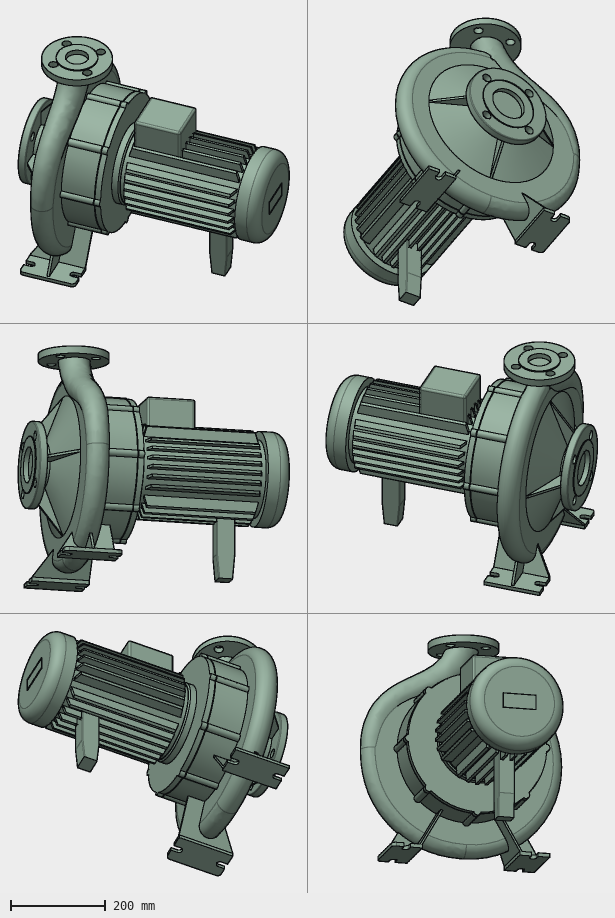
import cadquery as cq
import math


OVERLAP = 5.5

SUCTION_FACE_X = -100.0
SUCTION_LIP = 2.0
SUCTION_FLANGE_BACK_X = -81.0
SUCTION_FLANGE_R = 93.0
SUCTION_LIP_R = 61.0
SUCTION_BORE_R = 38.0
SUCTION_HOLE_CIRCLE_R = 72.5
SUCTION_FLANGE_FILLET = 1.5
NECK_R = 48.5

DISCHARGE_FACE_Z = 250.0
DISCHARGE_LIP = 3.0
DISCHARGE_FLANGE_BOTTOM_Z = 231.0
DISCHARGE_FLANGE_R = 75.0
DISCHARGE_LIP_R = 44.0
DISCHARGE_BORE_R = 24.5
DISCHARGE_HOLE_CIRCLE_R = 55.0

FLANGE_HOLE_DIAMETER = 19.5
FLANGE_HOLE_COUNT = 4
FLANGE_HOLE_START_ANGLE = 45
BORE_DEPTH = 11.0

CHANNEL_R = 24.5
OUTLET_R = 34.5
SPIRAL_TOP = (0, 182.0)
SPIRAL_LEFT = (191.0, -9.0)
SPIRAL_BOTTOM = (0, -199.5)
SPIRAL_LOWER_RIGHT = (-144.5, -144.5)
SPIRAL_RIGHT = (-201.0, 0)
OUTLET_UPPER_RIGHT = (-138.0, 120.5)
OUTLET_BEND = (-55.0, 166.5)
OUTLET_END = (-1.0, 239.0)
OUTLET_DIRECTION = (0.3, 1)

CONE_TIP_X = -64.0
CONE_BASE_R = 151.0
CONE_RIB_R = 82.0
CONE_RIB_THICKNESS = 5.5
CONE_RIB_COUNT = 4

BARREL_R = 152.0
BOSS_R = 8.5
BOSS_CIRCLE_R = 150.5
BOSS_COUNT = 8
GASKET_THICKNESS = 1.5
BARREL_END_X = 99.5
COVER_START_X = BARREL_END_X + GASKET_THICKNESS
COVER_END_X = 114.0

ADAPTER_END_X = 131.5
ADAPTER_R = 88.5
ADAPTER_CHAMFER = 3.5
MOTOR_R = 83.5
FIN_TIP_R = 102.0
FIN_START_X = 140.0
FIN_END_X = 390.5
FIN_END_SLOPE = 6.5
FIN_THICKNESS = 5.5
FIN_PITCH = 20.5
FINS_PER_SIDE = 6

FAN_COVER_X = 399.0
FAN_COVER_END_X = 451.0
FAN_COVER_FILLET = 25.0
NAME_PLATE_WIDTH = 72.0
NAME_PLATE_HEIGHT = 31.5
NAME_PLATE_THICKNESS = 1.5

BOX_X = 149.0
BOX_LENGTH = 105.0
BOX_WIDTH = 96.0
BOX_TOP_Z = 153.0
BOX_FILLET = 5.0

GROUND_Z = -225.0
FOOT_FRONT_X = -63.0
FOOT_REAR_X = 62.5
FOOT_OUTER_Y = 172.5
FOOT_INNER_Y = 107.0
FOOT_PLATE_THICKNESS = 8.5
FOOT_CORNER_R = 9.0
FOOT_SLOT_Y = 140.0
FOOT_SLOT_WIDTH = 14.5
FOOT_SLOT_DEPTH = 22.0
WEB_THICKNESS = 4.5
WEB_LEAN = math.tan(math.radians(30))
WEB_HEIGHT = 110.5
WEB_FRONT_RUN = 0.7
FOOT_RIB_THICKNESS = 5.5
FOOT_RIB_OUTER_Y = 166.5

LEG_X = 328.5
LEG_TOP_LENGTH = 40.0
LEG_BOTTOM_LENGTH = 30.5
LEG_WIDTH = 35.5
LEG_TAPER_Z = -173.5
LEG_FILLET = 1.5


def revolved(profile):
    """Solid of revolution about X from a closed (x, radius) outline."""
    return cq.Workplane("XY").polyline(profile).close().revolve(360, (0, 0), (1, 0))


def cylinder_x(start_x, end_x, radius):
    return cq.Workplane("YZ", origin=(start_x, 0, 0)).circle(radius).extrude(end_x - start_x)


def flange(radius, lip_radius, lip, thickness, hole_circle_radius, edge_fillet=0):
    """Drilled flange with a raised face: back at z = 0, sealing face up."""
    disc = cq.Workplane("XY").circle(radius).extrude(thickness - lip)
    if edge_fillet:
        disc = disc.edges().fillet(edge_fillet)
    holes = (
        cq.Workplane("XY")
        .polarArray(hole_circle_radius, FLANGE_HOLE_START_ANGLE, 360, FLANGE_HOLE_COUNT)
        .circle(FLANGE_HOLE_DIAMETER / 2)
        .extrude(thickness - lip)
    )
    raised_face = cq.Workplane("XY").circle(lip_radius).extrude(thickness)
    return disc.union(raised_face).cut(holes)


def suction_flange():
    thickness = SUCTION_FLANGE_BACK_X - SUCTION_FACE_X
    blank = flange(
        SUCTION_FLANGE_R,
        SUCTION_LIP_R,
        SUCTION_LIP,
        thickness,
        SUCTION_HOLE_CIRCLE_R,
        SUCTION_FLANGE_FILLET,
    )
    return blank.rotate((0, 0, 0), (0, 1, 0), -90).translate((SUCTION_FLANGE_BACK_X, 0, 0))


def discharge_flange():
    thickness = DISCHARGE_FACE_Z - DISCHARGE_FLANGE_BOTTOM_Z
    blank = flange(DISCHARGE_FLANGE_R, DISCHARGE_LIP_R, DISCHARGE_LIP, thickness, DISCHARGE_HOLE_CIRCLE_R)
    return blank.translate((0, 0, DISCHARGE_FLANGE_BOTTOM_Z))


def channel_section(centre, direction, radius):
    """Circle across the channel at a (Y, Z) point, facing along the channel."""
    plane = cq.Plane(origin=(0, *centre), xDir=(1, 0, 0), normal=(0, *direction))
    return cq.Workplane(plane).circle(radius)


def spiral_small_half(sketch):
    return sketch.threePointArc(SPIRAL_LEFT, SPIRAL_BOTTOM)


def spiral_large_half(sketch):
    return sketch.spline(
        [SPIRAL_LOWER_RIGHT, SPIRAL_RIGHT], tangents=[(-1, 0), (0, 1)], includeCurrent=True
    )


def volute():
    """Spiral channel, its widening outlet and the flat walls enclosed by them."""
    small_path = spiral_small_half(cq.Workplane("YZ").moveTo(*SPIRAL_TOP))
    small_half = channel_section(SPIRAL_TOP, (1, 0), CHANNEL_R).sweep(small_path)

    large_path = spiral_large_half(cq.Workplane("YZ").moveTo(*SPIRAL_BOTTOM))
    large_half = channel_section(SPIRAL_BOTTOM, (-1, 0), CHANNEL_R).sweep(large_path)

    outlet_points = [SPIRAL_RIGHT, OUTLET_UPPER_RIGHT, OUTLET_BEND, OUTLET_END]
    outlet_path = cq.Workplane("YZ").spline(outlet_points, tangents=[(0, 1), OUTLET_DIRECTION])
    outlet_start = channel_section(SPIRAL_RIGHT, (0, 1), CHANNEL_R)
    outlet_end = channel_section(OUTLET_END, OUTLET_DIRECTION, OUTLET_R)
    outlet = outlet_start.add(outlet_end).toPending().sweep(outlet_path, multisection=True)
    above_bore_floor = (
        cq.Workplane("XY", origin=(0, 0, DISCHARGE_FACE_Z - BORE_DEPTH))
        .circle(DISCHARGE_FLANGE_R)
        .extrude(2 * OUTLET_R)
    )
    outlet = outlet.cut(above_bore_floor)

    walls = cq.Workplane("YZ", origin=(-CHANNEL_R, 0, 0)).moveTo(*SPIRAL_TOP)
    walls = spiral_large_half(spiral_small_half(walls))
    walls = walls.spline([OUTLET_UPPER_RIGHT, OUTLET_BEND], includeCurrent=True)
    walls = walls.close().extrude(2 * CHANNEL_R)
    return walls.union(small_half).union(large_half).union(outlet)


def front_cone():
    """Suction neck widening into the volute, with radial stiffening ribs."""
    cone = revolved([
        (SUCTION_FLANGE_BACK_X - OVERLAP, 0),
        (SUCTION_FLANGE_BACK_X - OVERLAP, NECK_R),
        (CONE_TIP_X, NECK_R),
        (-CHANNEL_R, CONE_BASE_R),
        (0, CONE_BASE_R),
        (0, 0),
    ])
    rib = (
        cq.Workplane("XZ")
        .polyline([
            (SUCTION_FLANGE_BACK_X, 0),
            (SUCTION_FLANGE_BACK_X, CONE_RIB_R),
            (-CHANNEL_R, CONE_BASE_R),
            (-CHANNEL_R, 0),
        ])
        .close()
        .extrude(CONE_RIB_THICKNESS / 2, both=True)
    )
    for index in range(CONE_RIB_COUNT):
        cone = cone.union(rib.rotate((0, 0, 0), (1, 0, 0), index * 360 / CONE_RIB_COUNT))
    return cone


def bolted_disc(start_x, end_x):
    """Barrel-sized disc with a ring of bolt bosses on its rim."""
    disc = cylinder_x(start_x, end_x, BARREL_R)
    bosses = (
        cq.Workplane("YZ", origin=(start_x, 0, 0))
        .polarArray(BOSS_CIRCLE_R, 0, 360, BOSS_COUNT)
        .circle(BOSS_R)
        .extrude(end_x - start_x)
    )
    return disc.union(bosses)


def make_casing():
    casing = volute().union(bolted_disc(0, BARREL_END_X)).union(front_cone())
    casing = casing.union(suction_flange()).union(discharge_flange())
    suction_bore = cylinder_x(SUCTION_FACE_X, SUCTION_FACE_X + BORE_DEPTH, SUCTION_BORE_R)
    discharge_bore = (
        cq.Workplane("XY", origin=(0, 0, DISCHARGE_FACE_Z - BORE_DEPTH))
        .circle(DISCHARGE_BORE_R)
        .extrude(BORE_DEPTH)
    )
    return casing.cut(suction_bore).cut(discharge_bore)


def make_adapter():
    return cylinder_x(COVER_END_X, ADAPTER_END_X, ADAPTER_R).faces(">X").edges().chamfer(ADAPTER_CHAMFER)


def make_motor():
    """Motor cylinder with parallel cooling fins on all four sides."""
    fin_envelope = revolved([
        (FIN_START_X, 0),
        (FIN_START_X, MOTOR_R),
        (FIN_START_X + FIN_END_SLOPE, FIN_TIP_R),
        (FIN_END_X - FIN_END_SLOPE, FIN_TIP_R),
        (FIN_END_X, MOTOR_R),
        (FIN_END_X, 0),
    ])
    fin_length = FIN_END_X - FIN_START_X
    fin_span = 2 * FIN_TIP_R
    plates = (
        cq.Workplane("YZ", origin=(FIN_START_X, 0, 0))
        .rarray(FIN_PITCH, 5.5, FINS_PER_SIDE, 1)
        .rect(FIN_THICKNESS, fin_span)
        .extrude(fin_length)
    )
    crossing_plates = plates.rotate((0, 0, 0), (1, 0, 0), 90)
    fins = plates.union(crossing_plates).intersect(fin_envelope)
    return cylinder_x(ADAPTER_END_X, FAN_COVER_X, MOTOR_R).union(fins)


def make_fan_cover():
    cover = cylinder_x(FAN_COVER_X, FAN_COVER_END_X, FIN_TIP_R).faces(">X").edges().fillet(FAN_COVER_FILLET)
    name_plate = (
        cq.Workplane("YZ", origin=(FAN_COVER_END_X, 0, 0))
        .rect(NAME_PLATE_WIDTH, NAME_PLATE_HEIGHT)
        .extrude(NAME_PLATE_THICKNESS)
    )
    return cover.union(name_plate)


def make_terminal_box(motor):
    """Rounded box standing on the motor and fitting over its fins."""
    box = cq.Workplane("XY").box(BOX_LENGTH, BOX_WIDTH, BOX_TOP_Z, centered=(False, True, False))
    box = box.edges("|Z or >Z").fillet(BOX_FILLET).translate((BOX_X, 0, 0))
    return box.cut(motor)


def make_motor_leg(motor):
    """Leg with tapered lower end, fitting up between the motor fins."""
    half_top = LEG_TOP_LENGTH / 2
    half_bottom = LEG_BOTTOM_LENGTH / 2
    leg = (
        cq.Workplane("XZ", origin=(LEG_X, 0, 0))
        .polyline([
            (-half_bottom, GROUND_Z),
            (half_bottom, GROUND_Z),
            (half_top, LEG_TAPER_Z),
            (half_top, -MOTOR_R + OVERLAP),
            (-half_top, -MOTOR_R + OVERLAP),
            (-half_top, LEG_TAPER_Z),
        ])
        .close()
        .extrude(LEG_WIDTH / 2, both=True)
    )
    leg = leg.edges("(<Y or >Y) and (not |X)").fillet(LEG_FILLET)
    return leg.cut(motor)


def foot_plate(side):
    """Slotted ground plate; only the foot on the -Y side has rounded outer corners."""
    length = FOOT_REAR_X - FOOT_FRONT_X
    width = FOOT_OUTER_Y - FOOT_INNER_Y
    centre_x = (FOOT_REAR_X + FOOT_FRONT_X) / 2
    centre_y = side * (FOOT_OUTER_Y + FOOT_INNER_Y) / 2
    base = cq.Workplane("XY", origin=(centre_x, 0, GROUND_Z))
    plate = base.center(0, centre_y).rect(length, width).extrude(FOOT_PLATE_THICKNESS)
    if side < 0:
        plate = plate.edges("|Z and <Y").fillet(FOOT_CORNER_R)
    slots = (
        base.center(0, side * FOOT_SLOT_Y)
        .pushPoints([(-length / 2, 0), (length / 2, 0)])
        .slot2D(2 * FOOT_SLOT_DEPTH, FOOT_SLOT_WIDTH)
        .extrude(FOOT_PLATE_THICKNESS)
    )
    return plate.cut(slots)


def leaning_strip(side, inner_y, outer_y, start_x, end_x):
    """Upright strip rising from the plate's inner part and leaning towards the shaft."""
    bottom_z = GROUND_Z + FOOT_PLATE_THICKNESS
    lean = WEB_LEAN * WEB_HEIGHT
    outline = [
        (side * inner_y, bottom_z),
        (side * outer_y, bottom_z),
        (side * (outer_y - lean), bottom_z + WEB_HEIGHT),
        (side * (inner_y - lean), bottom_z + WEB_HEIGHT),
    ]
    return cq.Workplane("YZ", origin=(start_x, 0, 0)).polyline(outline).close().extrude(end_x - start_x)


def make_casing_foot(side, casing):
    """Foot on the +Y (side = 1) or -Y (side = -1) side, trimmed to the casing."""
    web_outer_y = FOOT_INNER_Y + WEB_THICKNESS / math.cos(math.atan(WEB_LEAN))
    web = leaning_strip(side, FOOT_INNER_Y, web_outer_y, FOOT_FRONT_X, FOOT_REAR_X)
    plate_top_z = GROUND_Z + FOOT_PLATE_THICKNESS
    front_trim = (
        cq.Workplane("XZ")
        .polyline([
            (FOOT_FRONT_X, plate_top_z),
            (FOOT_FRONT_X, plate_top_z + WEB_HEIGHT),
            (FOOT_FRONT_X + WEB_FRONT_RUN * WEB_HEIGHT, plate_top_z + WEB_HEIGHT),
        ])
        .close()
        .extrude(FOOT_OUTER_Y, both=True)
    )
    rib = leaning_strip(
        side, FOOT_INNER_Y, FOOT_RIB_OUTER_Y, -FOOT_RIB_THICKNESS / 2, FOOT_RIB_THICKNESS / 2
    )
    return foot_plate(side).union(web.cut(front_trim)).union(rib).cut(casing)


casing = make_casing()
casing_feet = [make_casing_foot(side, casing) for side in (1, -1)]
gasket = bolted_disc(BARREL_END_X, COVER_START_X)
cover = bolted_disc(COVER_START_X, COVER_END_X)
adapter = make_adapter()
motor = make_motor()
fan_cover = make_fan_cover()
terminal_box = make_terminal_box(motor)
motor_leg = make_motor_leg(motor)

result = cq.Compound.makeCompound([
    casing.val(),
    *[foot.val() for foot in casing_feet],
    gasket.val(),
    cover.val(),
    adapter.val(),
    motor.val(),
    fan_cover.val(),
    terminal_box.val(),
    motor_leg.val(),
])